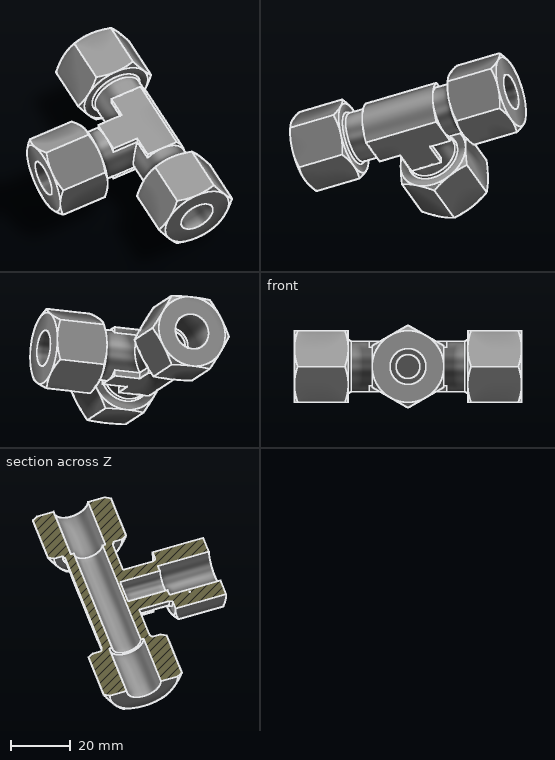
import cadquery as cq
import math

hexagon_sides = 6
nut_flats = 24.0
nut_length = 18.0
nut_chamfer_angle = 30.0
nut_reach = 38.0

barrel_diameter = 17.0
pad_width = 11.0
run_pad_length = 26.0
branch_pad_end = 14.5

collar_diameter = 18.1
collar_half_angle = 30.0

tube_diameter = 12.0
tube_depth = 18.0
run_bore_diameter = 10.0
branch_bore_diameter = 8.0
branch_floor = 6.0

nut_corners = nut_flats / math.cos(math.pi / hexagon_sides)
nut_start = nut_reach - nut_length
collar_flare = (collar_diameter - barrel_diameter) / 2
collar_length = collar_flare / math.tan(math.radians(collar_half_angle))
nut_chamfer_depth = (nut_corners - nut_flats) / 2
nut_chamfer_length = nut_chamfer_depth * math.tan(math.radians(nut_chamfer_angle))

right_arm = cq.Plane(origin=(0, 0, 0), xDir=(0, 1, 0), normal=(1, 0, 0))
left_arm = cq.Plane(origin=(0, 0, 0), xDir=(0, 1, 0), normal=(-1, 0, 0))
branch_arm = cq.Plane(origin=(0, 0, 0), xDir=(1, 0, 0), normal=(0, -1, 0))


def cylinder(plane, diameter, start, end):
    """Cylinder on the arm axis between two distances from the tee centre."""
    return cq.Workplane(plane).workplane(offset=start).circle(diameter / 2).extrude(end - start)


def nut(plane, corner_angle):
    """Hexagon nut with both ends turned to a cone that meets the flats at the end faces."""
    hexagon = (
        cq.Workplane(plane)
        .workplane(offset=nut_start)
        .transformed(rotate=(0, 0, corner_angle))
        .polygon(hexagon_sides, nut_corners)
        .extrude(nut_length)
    )
    turned_blank = cylinder(plane, nut_corners, nut_start, nut_reach)
    turned_blank = turned_blank.faces("%Plane").edges().chamfer(nut_chamfer_length, nut_chamfer_depth)
    return hexagon.intersect(turned_blank)


def collar(plane):
    """Cone that widens from the barrel to the collar diameter at the nut."""
    return (
        cq.Workplane(plane)
        .workplane(offset=nut_start - collar_length)
        .circle(barrel_diameter / 2)
        .workplane(offset=collar_length)
        .circle(collar_diameter / 2)
        .loft()
    )


def run_block():
    """Forged block on the run: flat top and bottom, bulged along the back as far as the barrel."""
    half_width = pad_width / 2
    half_height = barrel_diameter / 2
    return (
        cq.Workplane(right_arm)
        .moveTo(half_width, half_height)
        .lineTo(-half_width, half_height)
        .lineTo(-half_width, -half_height)
        .lineTo(half_width, -half_height)
        .threePointArc((barrel_diameter / 2, 0), (half_width, half_height))
        .close()
        .extrude(run_pad_length / 2, both=True)
    )


def tee_body():
    """Three barrels with a T-shaped flat on the top and the bottom."""
    run = cylinder(right_arm, barrel_diameter, -nut_start, nut_start)
    branch = cylinder(branch_arm, barrel_diameter, 0, nut_start)
    branch_pad = cq.Workplane().box(pad_width, branch_pad_end, barrel_diameter)
    branch_pad = branch_pad.translate((0, -branch_pad_end / 2, 0))
    return run.union(branch).union(run_block()).union(branch_pad)


arms = [(right_arm, 0), (left_arm, 0), (branch_arm, 90)]

result = tee_body()
for arm, corner_angle in arms:
    result = result.union(collar(arm)).union(nut(arm, corner_angle))

for arm, _ in arms:
    result = result.cut(cylinder(arm, tube_diameter, nut_reach - tube_depth, nut_reach))
result = result.cut(cylinder(right_arm, run_bore_diameter, -nut_reach, nut_reach))
result = result.cut(cylinder(branch_arm, branch_bore_diameter, branch_floor, nut_reach))